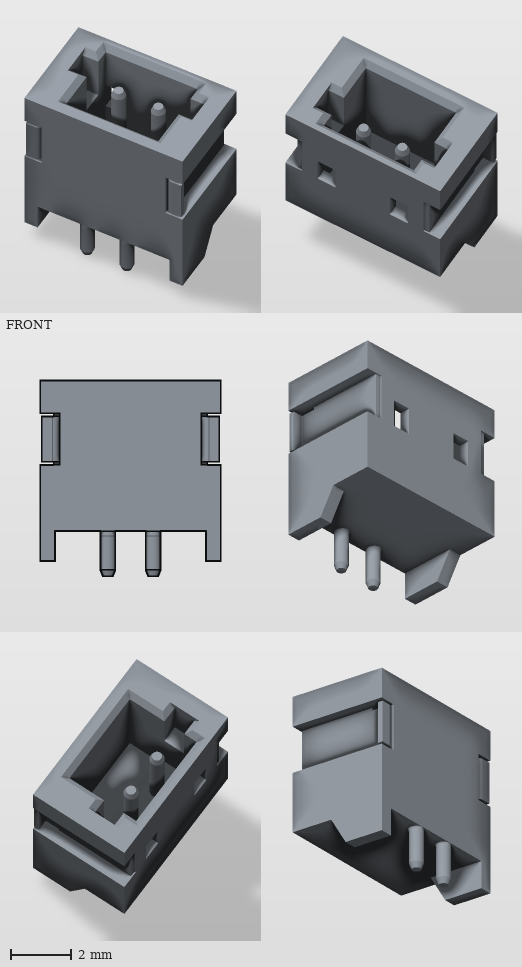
import cadquery as cq
import math


width = 6.0
depth = 3.7
housing_top = 5.0
leg_height = 1.0
leg_width = 0.5
leg_foot_depth = 1.5
leg_root_depth = 2.1

cavity_width = 3.5
cavity_front = 0.6
cavity_back = 3.3
lead_in = 0.2
floor_front_z = 1.2
floor_step = 0.3
step_front = 1.65
floor_back_z = floor_front_z + floor_step

key_front = 2.0
key_back = 2.8
key_floor_z = 3.2

window_width = 0.7
window_height = 1.0

groove_bottom = 2.2
groove_top = 3.9
groove_depth = 0.65
groove_x = width / 2 - groove_depth

sheet = 0.2
bend_inner = 0.05
tab_inset = 0.05
tab_gap = 0.1
shoulder_y = 0.75
tab_outer_x = width / 2 - tab_inset
tab_plate_x = groove_x + sheet
tab_back = depth - tab_inset
bend_outer = bend_inner + sheet

pitch = 1.5
pin_diameter = 0.5
tip_diameter = 0.33
tip_length = 0.215
post_y = 2.4
post_top = 4.3
tail_tip_z = -1.5
tail_bend_z = -0.155
bend_radius = 0.5
pin_radius = pin_diameter / 2
tip_taper = (pin_diameter - tip_diameter) / 2
tail_y = pin_radius
run_z = tail_bend_z + bend_radius
joint_z = run_z + bend_radius

arc_mid = math.sqrt(0.5)

contact_xs = [-pitch / 2, pitch / 2]
sides = [-1, 1]


def block(x0, x1, y0, y1, z0, z1):
    """Box between two opposite corners."""
    return cq.Workplane("XY").box(x1 - x0, y1 - y0, z1 - z0, centered=False).translate((x0, y0, z0))


def side_prism(points, half_width):
    """Prism with a Y-Z outline, centred on X = 0."""
    return cq.Workplane("YZ").polyline(points).close().extrude(half_width, both=True)


def make_post(x):
    """Straight contact post with a tapered tip, standing on the tail."""
    return (
        cq.Workplane("XY", origin=(x, post_y, joint_z))
        .circle(pin_radius)
        .extrude(post_top - joint_z)
        .faces(">Z")
        .chamfer(tip_length, tip_taper)
    )


def make_tail(x):
    """Round wire: up from the tip, back under the cavity floor, then up to the post."""
    arc_offset = bend_radius * (1 - arc_mid)
    arc_rise = bend_radius * arc_mid
    path = (
        cq.Workplane("YZ", origin=(x, 0, 0))
        .moveTo(tail_y, tail_tip_z)
        .lineTo(tail_y, tail_bend_z)
        .threePointArc((tail_y + arc_offset, tail_bend_z + arc_rise), (tail_y + bend_radius, run_z))
        .lineTo(post_y - bend_radius, run_z)
        .threePointArc((post_y - arc_offset, joint_z - arc_rise), (post_y, joint_z))
    )
    wire = cq.Workplane("XY", origin=(x, tail_y, tail_tip_z)).circle(pin_radius).sweep(path)
    return wire.faces("<Z").chamfer(tip_length, tip_taper)


def make_tab(side):
    """Bent sheet tab: a plate in the end groove with a narrow flange turned outwards."""
    bend_x = groove_x + bend_outer
    flange = (
        cq.Workplane("XY", origin=(0, 0, groove_bottom + tab_gap))
        .moveTo(tab_outer_x, 0)
        .lineTo(bend_x, 0)
        .threePointArc((bend_x - bend_outer * arc_mid, bend_outer * (1 - arc_mid)), (groove_x, bend_outer))
        .lineTo(groove_x, shoulder_y)
        .lineTo(tab_plate_x, shoulder_y)
        .lineTo(tab_plate_x, bend_outer)
        .threePointArc((bend_x - bend_inner * arc_mid, bend_outer - bend_inner * arc_mid), (bend_x, sheet))
        .lineTo(tab_outer_x, sheet)
        .close()
        .extrude(groove_top - groove_bottom - 2 * tab_gap)
    )
    plate = block(groove_x, tab_plate_x, shoulder_y, tab_back, groove_bottom, groove_top)
    tab = flange.union(plate)
    return tab if side > 0 else tab.mirror("YZ")


def cut_cavity(body):
    """Open the cavity with its sloped lead-in, stepped floor and two keyways."""
    cavity = side_prism(
        [
            (cavity_front, housing_top),
            (cavity_front, floor_front_z),
            (step_front, floor_front_z),
            (step_front + floor_step, floor_back_z),
            (cavity_back, floor_back_z),
            (cavity_back, housing_top),
        ],
        cavity_width / 2,
    )
    mouth = (
        cq.Workplane("XY", origin=(0, (cavity_front + cavity_back) / 2, housing_top))
        .rect(cavity_width + 2 * lead_in, cavity_back - cavity_front + 2 * lead_in)
        .workplane(offset=-lead_in)
        .rect(cavity_width, cavity_back - cavity_front)
        .loft(ruled=True)
    )
    keyways = side_prism(
        [
            (key_front - lead_in, housing_top),
            (key_front, housing_top - lead_in),
            (key_front, key_floor_z),
            (key_back, key_floor_z),
            (key_back, housing_top - lead_in),
            (key_back + lead_in, housing_top),
        ],
        groove_x,
    )
    return body.cut(cavity).cut(mouth).cut(keyways)


def make_housing(contacts):
    """Housing with legs, cavity, end grooves, back windows and seats for the contacts."""
    body = side_prism(
        [
            (0, housing_top),
            (0, -leg_height),
            (leg_foot_depth, -leg_height),
            (leg_root_depth, 0),
            (depth, 0),
            (depth, housing_top),
        ],
        width / 2,
    )
    leg_inner_x = width / 2 - leg_width
    body = body.cut(block(-leg_inner_x, leg_inner_x, 0, depth, -leg_height, 0))
    body = cut_cavity(body)
    cavity_end = cavity_width / 2
    window_top = groove_bottom + window_height
    for side in sides:
        groove_near, groove_far = sorted([side * groove_x, side * width / 2])
        body = body.cut(block(groove_near, groove_far, 0, depth, groove_bottom, groove_top))
        window_near, window_far = sorted([side * (cavity_end - window_width), side * cavity_end])
        body = body.cut(block(window_near, window_far, cavity_back, depth, groove_bottom, window_top))
    for contact in contacts:
        body = body.cut(contact)
    return body


posts = [make_post(x) for x in contact_xs]
tails = [make_tail(x) for x in contact_xs]
tabs = [make_tab(side) for side in sides]
housing = make_housing(posts + tails)

result = cq.Compound.makeCompound([housing.val()] + [piece.val() for piece in posts + tails + tabs])